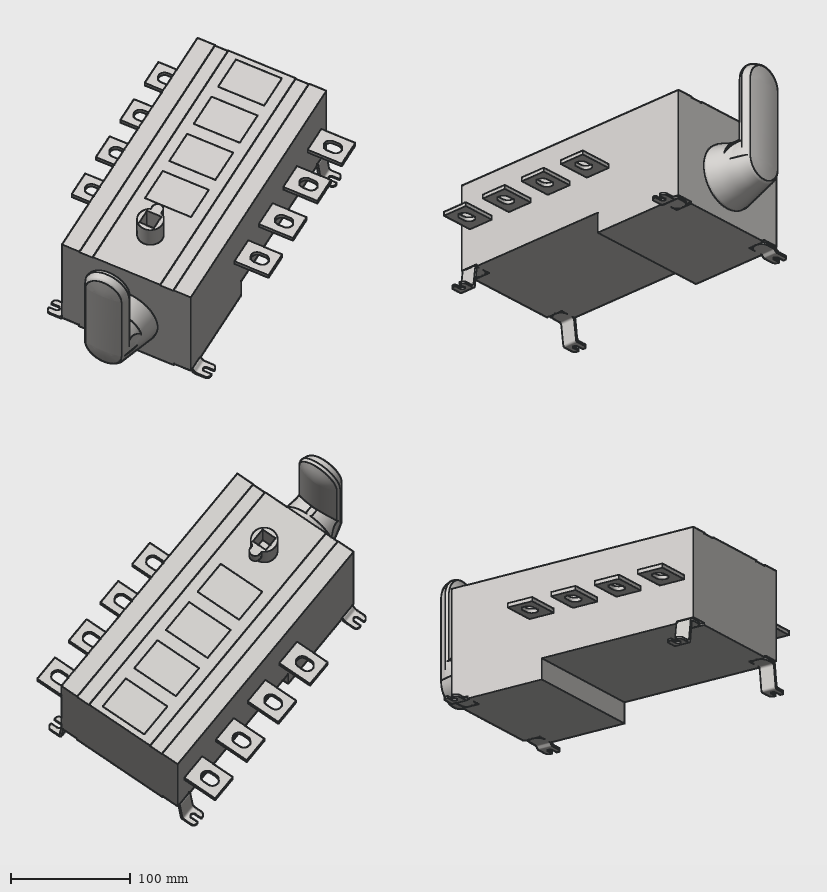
import cadquery as cq
import math


body_width = 121.0
body_length = 245.3
body_height = 102.0
half_width = body_width / 2
rear_step_start = 91.5
rear_step_height = 19.0
groove_inner_x = 31.7
groove_outer_x = 44.0
groove_depth = 1.0

pole_count = 4
pole_pitch = 44.0
rear_pole_inset = 21.5
pole_positions = [body_length - rear_pole_inset - i * pole_pitch for i in range(pole_count)]
window_size = (43.2, 32.3)
window_depth = 0.3

terminal_span = 185.0
terminal_width = 24.8
terminal_thickness = 3.7
terminal_z = 58.8
terminal_slot_x = 77.8
terminal_slot_length = 16.0
terminal_slot_width = 11.0

boss_y = 43.5
boss_radius = 11.2
boss_height = 20.2
boss_socket = 13.5
boss_tab_reach = 17.5
boss_tab_radius = 5.0
boss_tab_height = 9.8

foot_width = 14.5
foot_end_inset = 2.0
foot_thickness = 1.87
foot_bend_radius = 2.3
foot_drop = 2.5
foot_inner_x = 44.7
foot_bend_x = 64.3
foot_outer_x = 76.5
foot_notch_x = 67.5
foot_notch_width = 4.5
foot_end_radius = 7.0
foot_tip_radius = 3.5
foot_recess_width = foot_width + foot_end_inset

handle_z = 42.7
handle_top = 136.5
handle_half_width = 20.5
handle_widest_y = -34.5
handle_back_edge = (19.5, -31.5)
handle_back_edge_middle = (20.25, -32.9)
handle_back_y = -26.08
handle_edge = (18.7, -39.2)
handle_edge_middle = (17.95, -40.3)
handle_front_edge = (16.85, -41.2)
handle_front_y = -43.0
hub_radius = 29.5
hub_rim = 2.45
saddle_start_y = -18.2
saddle_radius = 25.0
saddle_half_width = 23.5
saddle_foot_waist = (23.0, -24.2)
saddle_top_waist = (20.0, -23.0)
saddle_groove_width = 5.8
saddle_groove_depth = 0.3


def block(x_range, y_range, z_range):
    """Axis-aligned box between the given limits."""
    (x0, x1), (y0, y1), (z0, z1) = x_range, y_range, z_range
    return cq.Workplane("XY").box(x1 - x0, y1 - y0, z1 - z0, centered=False).translate((x0, y0, z0))


def make_body():
    """Stepped housing with two top grooves and a shallow label window per pole."""
    full_width = (-half_width, half_width)
    body = block(full_width, (0, body_length), (0, body_height))
    body = body.cut(block(full_width, (rear_step_start, body_length), (0, rear_step_height)))
    groove_width = groove_outer_x - groove_inner_x
    groove_x = (groove_outer_x + groove_inner_x) / 2
    grooves = (
        cq.Workplane("XY", origin=(0, body_length / 2, body_height))
        .pushPoints([(-groove_x, 0), (groove_x, 0)])
        .rect(groove_width, body_length)
        .extrude(-groove_depth)
    )
    windows = (
        cq.Workplane("XY", origin=(0, 0, body_height))
        .pushPoints([(0, y) for y in pole_positions])
        .rect(*window_size)
        .extrude(-window_depth)
    )
    return body.cut(grooves).cut(windows)


def make_terminals():
    """Flat bars across the body, slotted at both ends."""
    plane = cq.Workplane("XY", origin=(0, 0, terminal_z - terminal_thickness / 2))
    bars = (
        plane.pushPoints([(0, y) for y in pole_positions])
        .rect(terminal_span, terminal_width)
        .extrude(terminal_thickness)
    )
    slots = (
        plane.pushPoints([(side * terminal_slot_x, y) for y in pole_positions for side in (-1, 1)])
        .slot2D(terminal_slot_length, terminal_slot_width)
        .extrude(terminal_thickness)
    )
    return bars.cut(slots)


def make_boss():
    """Round key boss with a square socket and a pointer tab at its upper end."""
    base = cq.Workplane("XY", origin=(0, boss_y, body_height))
    post = base.circle(boss_radius).extrude(boss_height)
    tab_centre = boss_tab_reach - boss_tab_radius
    tab = (
        base.workplane(offset=boss_height - boss_tab_height)
        .moveTo(-boss_tab_radius, 0)
        .lineTo(-boss_tab_radius, tab_centre)
        .threePointArc((0, boss_tab_reach), (boss_tab_radius, tab_centre))
        .lineTo(boss_tab_radius, 0)
        .close()
        .extrude(boss_tab_height)
    )
    socket = base.rect(boss_socket, boss_socket).extrude(boss_height)
    return post.union(tab).cut(socket)


def make_foot(y_start, seat_z):
    """Bent strap on the +X side, from its seat under the body down to the forked plate."""
    plate_top = foot_thickness - foot_drop
    profile = [
        (foot_inner_x, seat_z),
        (half_width - foot_thickness / 2, seat_z),
        (foot_bend_x - foot_thickness, -foot_drop),
        (foot_outer_x, -foot_drop),
        (foot_outer_x, plate_top),
        (foot_bend_x, plate_top),
        (half_width + foot_thickness / 2, seat_z + foot_thickness),
        (foot_inner_x, seat_z + foot_thickness),
    ]
    strap = (
        cq.Workplane("XZ", origin=(0, y_start + foot_width, 0))
        .polyline(profile)
        .close()
        .extrude(foot_width)
    )
    bends = cq.selectors.BoxSelector(
        (half_width - foot_thickness, 0, -body_height),
        (foot_bend_x + foot_thickness, body_length, body_height),
    )
    strap = strap.edges("|Y").edges(bends).fillet(foot_bend_radius)
    strap = strap.edges("|Z and >X").fillet(foot_tip_radius)
    strap = strap.edges("|Z and <X").fillet(foot_end_radius)
    notch_length = foot_outer_x - foot_notch_x
    notch = (
        cq.Workplane("XY", origin=(foot_outer_x, y_start + foot_width / 2, -foot_drop))
        .slot2D(2 * notch_length, foot_notch_width)
        .extrude(foot_thickness)
    )
    return strap.cut(notch)


def foot_recess(y_start, seat_z):
    """Shallow recess in the body underside that takes a foot, open at the body end."""
    return block(
        (foot_inner_x, half_width),
        (y_start, y_start + foot_recess_width),
        (seat_z, seat_z + foot_thickness),
    )


def add_feet(body):
    """Fit mirrored pairs of feet, each in its recess, at the front and rear of the body."""
    front = (foot_end_inset, 0, 0)
    rear_recess_y = body_length - foot_recess_width
    rear = (rear_recess_y, rear_recess_y, rear_step_height)
    for foot_y, recess_y, seat_z in (front, rear):
        recess = foot_recess(recess_y, seat_z)
        foot = make_foot(foot_y, seat_z)
        body = body.cut(recess).cut(recess.mirror("YZ"))
        body = body.union(foot).union(foot.mirror("YZ"))
    return body


def arc_middle(half_chord, edge_y, crown_y):
    """Point halfway along one side of a symmetric arc crowned on X = 0."""
    rise = crown_y - edge_y
    radius = (half_chord**2 + rise**2) / (2 * abs(rise))
    half_angle = math.asin(half_chord / radius) / 2
    drop = math.copysign(radius * (1 - math.cos(half_angle)), rise)
    return radius * math.sin(half_angle), crown_y - drop


def handle_front(outline):
    """Continue an outline from the rounded handle edge along the front crown to the axis."""
    crown = arc_middle(handle_front_edge[0], handle_front_edge[1], handle_front_y)
    return (
        outline.lineTo(*handle_edge)
        .threePointArc(handle_edge_middle, handle_front_edge)
        .threePointArc(crown, (0, handle_front_y))
    )


def half_section(z):
    """+X half of the lever cross-section, at height z."""
    back = arc_middle(*handle_back_edge, handle_back_y)
    outline = (
        cq.Workplane("XY", origin=(0, 0, z))
        .moveTo(0, handle_back_y)
        .threePointArc(back, handle_back_edge)
        .threePointArc(handle_back_edge_middle, (handle_half_width, handle_widest_y))
    )
    return handle_front(outline).close()


def make_hub():
    """Tapered round hub, crowned like the lever front."""
    outline = (
        cq.Workplane("XY", origin=(0, 0, handle_z))
        .lineTo(hub_radius, 0)
        .lineTo(hub_radius, -hub_rim)
    )
    return handle_front(outline).close().revolve(360, (0, 0, 0), (0, 1, 0))


def saddle_plan(base, waist):
    """Saddle outline whose curved sides pass through the given waist point."""
    waist_x, waist_y = waist
    return (
        base.moveTo(-saddle_half_width, saddle_start_y)
        .lineTo(saddle_half_width, saddle_start_y)
        .threePointArc(waist, (handle_half_width, handle_widest_y))
        .lineTo(-handle_half_width, handle_widest_y)
        .threePointArc((-waist_x, waist_y), (-saddle_half_width, saddle_start_y))
        .close()
    )


def make_saddle():
    """Straight-topped upper half of the hub with curved sides narrowing towards the lever."""
    foot_plan = saddle_plan(cq.Workplane("XY", origin=(0, 0, handle_z)), saddle_foot_waist)
    top_plan = saddle_plan(foot_plan.workplane(offset=saddle_radius), saddle_top_waist)
    sides = top_plan.loft(ruled=True)
    barrel = cq.Workplane("XZ", origin=(0, 0, handle_z)).circle(saddle_radius).extrude(-handle_widest_y)
    groove_top = handle_z + saddle_radius
    groove = block(
        (-saddle_groove_width / 2, saddle_groove_width / 2),
        (handle_widest_y, saddle_start_y),
        (groove_top - saddle_groove_depth, groove_top),
    )
    return sides.intersect(barrel).cut(groove)


def make_lever():
    """Upright grip with a crowned section and a revolved round top."""
    dome_z = handle_top - handle_half_width
    half_grip = half_section(handle_z).extrude(dome_z - handle_z)
    dome = half_section(dome_z).revolve(360, (0, 0, 0), (0, 1, 0))
    return half_grip.union(half_grip.mirror("YZ")).union(dome)


handle = make_hub().union(make_lever()).union(make_saddle())
result = add_feet(make_body()).union(make_terminals()).union(make_boss()).union(handle)